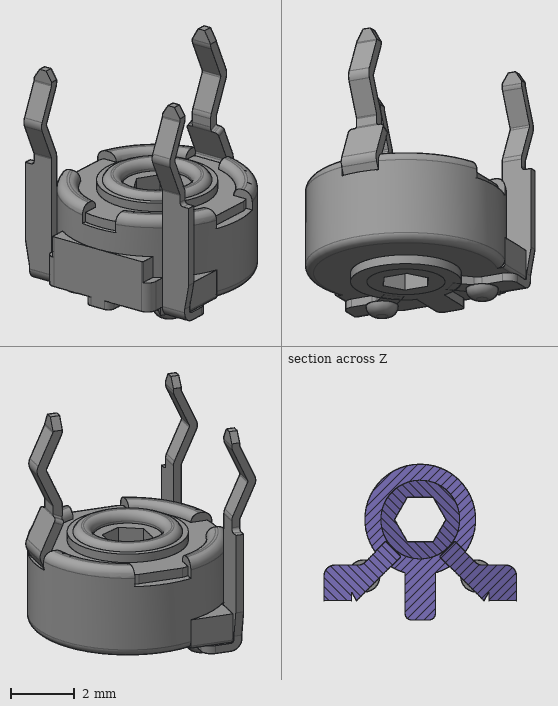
import cadquery as cq
import math


BODY_RADIUS = 3.148
BODY_BOTTOM = 0.29
LID_TOP = 2.995
RIM_TOP = 3.28
RIM_OUTER_ROUND = 0.315
RIM_INNER_ROUND = RIM_TOP - LID_TOP
RIM_CREST_RADIUS = 2.75
BODY_BOTTOM_ROUND = 0.25

NOTCH_FLOOR = 2.68
SIDE_NOTCH_WIDTH = 1.88
SIDE_LID_RADIUS = 2.915
SIDE_LID_FLAT = 5.64
END_NOTCH_WIDTH = 1.28
END_LID_RADIUS = 3

BLOCK_FRONT = -3.15
BLOCK_WIDTH = 3.51
BLOCK_TOP = 1.98
WING_WIDTH = 4.045
WING_TOP = 1.28
WING_ROUND = 0.32
WING_ROOT_ROUND = 0.08
SHOULDER_WIDTH = 6.02
SHOULDER_FRONT = -2.355
SHOULDER_BACK = -SIDE_NOTCH_WIDTH / 2
SHOULDER_BOTTOM_ROUND = 0.1

BOSS_RADIUS = 1.74
POST_WIDTH = 0.96
POST_ROUND = 0.22

HUB_RADIUS = 1.225
FLANGE_RADIUS = 1.9
FLANGE_TOP = RIM_TOP
RING_TOP = 3.475
RING_ROUND = 0.285
RING_CREST_OUTER = 1.45
RING_CREST_INNER = 1.38
RECESS_FLOOR = 3.12
HEX_ACROSS_FLATS = 1.39

BEND_SHIFT = 0.56
BEND_RISE = 1.21
PIN_BEND_ROUND = 0.08
TIP_WIDTH = 0.25

BLADE_THICKNESS = 0.27
BLADE_Y = -2.52
BLADE_OUTER = 3.175
BLADE_INNER = 2.15
BLADE_BASE_OUTER = 3.02
BLADE_TAPER_TOP = 1.37
BLADE_TAPER_BOTTOM = 0.52
BLADE_SHOULDER = 3.98
SIDE_PIN_WIDTH = 0.69
SIDE_PIN_APEX = 5.6
SIDE_TIP_BASE = 6.945
SIDE_TIP_TOP = 7.275
SIDE_SHOULDER_ROUND = 0.13

FOOT_BOTTOM = 0.02
FOOT_BEND_ROUND = 0.11
PAD_BACK = -1.42
PAD_ROUND = 0.35
ARM_FRONT_OFFSET = 0.39
ARM_REAR_OFFSET = 0.28
ARM_ROOT = -2.0
ARM_CORNER_ROUND = 0.32
ARM_END_DISTANCE = 1.23
ARM_END_ROUND = 0.24
RIVET_OFFSET = 1.77
RIVET_RADIUS = 0.505
RIVET_BOTTOM = -0.315
RIVET_ROUND = 0.32

CENTRE_THICKNESS = 0.315
CENTRE_Y = 2.5
CENTRE_PIN_WIDTH = 0.72
CENTRE_BASE_WIDTH = 1.23
CENTRE_SHOULDER = 4.26
CENTRE_SHOULDER_ROUND = 0.13
CENTRE_NECK_ROUND = 0.06
CENTRE_APEX = 5.91
CENTRE_LOWER_BEND = 4.31
CENTRE_TIP_BASE = 7.18
CENTRE_TIP_TOP = 7.585

MARGIN = 0.79
TINY = 0.001


def box(x_range, y_range, z_range):
    """Box between two limits along each axis."""
    return cq.Workplane("XY").box(
        x_range[1] - x_range[0], y_range[1] - y_range[0], z_range[1] - z_range[0], centered=False
    ).translate((x_range[0], y_range[0], z_range[0]))


def disc(radius, bottom, top):
    """Cylinder on the rotor axis."""
    return cq.Workplane("XY").workplane(offset=bottom).circle(radius).extrude(top - bottom)


def bent_strip(path, thickness, x_range, inner_rounds):
    """Bent strip along a (y, z) centre line, with one inside radius for each bend (0 leaves it sharp)."""
    normals = []
    for (y0, z0), (y1, z1) in zip(path, path[1:]):
        length = math.hypot(y1 - y0, z1 - z0)
        normals.append(cq.Vector(z0 - z1, y1 - y0) / length)

    def edge(offset):
        """Points of one long edge: its start, three points for each bend, its end."""
        points = [cq.Vector(*path[0]) + normals[0] * offset]
        for before, after, corner, inner in zip(normals, normals[1:], path[1:-1], inner_rounds):
            side = math.copysign(1, before.cross(after).z)
            mitre = (before + after) / (1 + before.dot(after))
            centre = cq.Vector(*corner) + mitre * side * (thickness / 2 + inner)
            radius = inner + thickness / 2 - side * offset
            middle = (before + after).normalized()
            points += [centre - normal * side * radius for normal in (before, middle, after)]
        return points + [cq.Vector(*path[-1]) + normals[-1] * offset]

    left = edge(thickness / 2)
    right = edge(-thickness / 2)[::-1]
    outline = cq.Workplane("YZ").workplane(offset=x_range[0]).moveTo(*right[-1].toTuple()[:2])
    for points in (left, right):
        outline = outline.lineTo(*points[0].toTuple()[:2])
        for i in range(1, len(points) - 1, 3):
            first, middle, last = (point.toTuple()[:2] for point in points[i:i + 3])
            outline = outline.lineTo(*first)
            if math.dist(first, last) > TINY:
                outline = outline.threePointArc(middle, last)
        outline = outline.lineTo(*points[-1].toTuple()[:2])
    return outline.close().extrude(x_range[1] - x_range[0])


def silhouette(points):
    """Prism through the whole part along Y with an (x, z) outline."""
    return cq.Workplane("XZ").polyline(points).close().extrude(BODY_RADIUS * 2, both=True)


def make_lid_outline():
    """Plate under the rim, whose edge shows in the four notches."""
    sides = disc(SIDE_LID_RADIUS, NOTCH_FLOOR, LID_TOP).intersect(
        box((-SIDE_LID_FLAT / 2, SIDE_LID_FLAT / 2), (-BODY_RADIUS, BODY_RADIUS), (NOTCH_FLOOR, LID_TOP))
    )
    half = END_NOTCH_WIDTH / 2
    ends = disc(END_LID_RADIUS, NOTCH_FLOOR, LID_TOP).intersect(
        box((-half, half), (-BODY_RADIUS, BODY_RADIUS), (NOTCH_FLOOR, LID_TOP))
    )
    return sides.union(ends)


def make_drum():
    """Round body with a raised rim, notched at four places down past the lid."""
    drum = disc(BODY_RADIUS, BODY_BOTTOM, RIM_TOP).faces(">Z").edges().fillet(RIM_OUTER_ROUND)
    drum = drum.faces("<Z").edges().fillet(BODY_BOTTOM_ROUND)
    well = cq.Workplane("XZ").moveTo(0, LID_TOP).lineTo(RIM_CREST_RADIUS - RIM_INNER_ROUND, LID_TOP)
    well = well.radiusArc((RIM_CREST_RADIUS, RIM_TOP), RIM_INNER_ROUND)
    well = well.lineTo(RIM_CREST_RADIUS, RIM_TOP + MARGIN).lineTo(0, RIM_TOP + MARGIN).close()
    drum = drum.cut(well.revolve(360, (0, 0, 0), (0, 1, 0)))

    reach = BODY_RADIUS + MARGIN
    heights = (NOTCH_FLOOR, RIM_TOP + MARGIN)
    side_half = SIDE_NOTCH_WIDTH / 2
    end_half = END_NOTCH_WIDTH / 2
    notches = box((-reach, reach), (-side_half, side_half), heights)
    notches = notches.union(box((-end_half, end_half), (-reach, reach), heights))
    return drum.cut(notches.cut(make_lid_outline()))


def make_base():
    """Square shoulders behind the side terminals, and the block between these at the front."""
    shoulder_half = SHOULDER_WIDTH / 2
    wing_half = WING_WIDTH / 2
    shoulders = box((-shoulder_half, shoulder_half), (SHOULDER_FRONT, SHOULDER_BACK), (BODY_BOTTOM, WING_TOP))
    shoulders = shoulders.edges("|Y and <Z").fillet(SHOULDER_BOTTOM_ROUND)

    wing_depth = (BLOCK_FRONT, SHOULDER_BACK)
    wing = box((-wing_half, wing_half), wing_depth, (BODY_BOTTOM, BLOCK_TOP))
    wing = wing.edges("|Z and <Y").fillet(WING_ROUND)
    above = (WING_TOP, BLOCK_TOP)
    for side in (-1, 1):
        step = sorted((side * BLOCK_WIDTH / 2, side * wing_half))
        wing = wing.cut(box(step, wing_depth, above))
    base = shoulders.union(wing)
    roots = base.edges(cq.selectors.BoxSelector(
        (-wing_half - TINY, SHOULDER_FRONT - TINY, BODY_BOTTOM),
        (wing_half + TINY, SHOULDER_FRONT + TINY, WING_TOP),
    )).edges("|Z")
    return roots.fillet(WING_ROOT_ROUND)


def make_housing():
    half = POST_WIDTH / 2
    post = box((-half, half), (BLOCK_FRONT, 0), (0, BODY_BOTTOM)).edges("|Z and <Y").fillet(POST_ROUND)
    boss = disc(BOSS_RADIUS, 0, BODY_BOTTOM)
    housing = make_drum().union(make_base()).union(boss).union(post)
    return housing.cut(disc(HUB_RADIUS, 0, LID_TOP))


def make_rotor():
    """Hub, flange and rounded ring round a hexagonal hole."""
    ring_base = RING_TOP - RING_ROUND
    inner_radius = RING_CREST_INNER - RING_ROUND
    ring = cq.Workplane("XZ").moveTo(inner_radius, ring_base)
    ring = ring.radiusArc((RING_CREST_INNER, RING_TOP), RING_ROUND)
    ring = ring.lineTo(RING_CREST_OUTER, RING_TOP)
    ring = ring.radiusArc((RING_CREST_OUTER + RING_ROUND, ring_base), RING_ROUND).close()
    ring = ring.revolve(360, (0, 0, 0), (0, 1, 0))

    rotor = disc(HUB_RADIUS, 0, LID_TOP).union(disc(FLANGE_RADIUS, LID_TOP, FLANGE_TOP))
    rotor = rotor.cut(disc(RING_CREST_INNER, ring_base, FLANGE_TOP)).union(ring)
    rotor = rotor.cut(disc(inner_radius, RECESS_FLOOR, ring_base))
    corner_diameter = HEX_ACROSS_FLATS / math.cos(math.pi / 6)
    return rotor.cut(cq.Workplane("XY").polygon(6, corner_diameter).extrude(RING_TOP))


def make_foot():
    """Foot of the left terminal: a pad, a diagonal arm with a turned-up end, and a domed rivet."""
    foot_middle = FOOT_BOTTOM + BLADE_THICKNESS / 2
    bend_radius = FOOT_BEND_ROUND + BLADE_THICKNESS
    pad_front = BLADE_Y - BLADE_THICKNESS / 2 + bend_radius

    def arm_point(distance, offset):
        """Point beside the arm's centre line, which runs at 45 degrees towards the rotor axis."""
        return ((offset - distance) / math.sqrt(2), (-offset - distance) / math.sqrt(2))

    inner_corner = (PAD_BACK - ARM_REAR_OFFSET * math.sqrt(2), PAD_BACK)
    foot = cq.Workplane("XY").workplane(offset=FOOT_BOTTOM).polyline([
        (-BLADE_BASE_OUTER, pad_front),
        (-BLADE_BASE_OUTER, PAD_BACK),
        inner_corner,
        arm_point(ARM_END_DISTANCE, -ARM_REAR_OFFSET),
        arm_point(ARM_END_DISTANCE, ARM_FRONT_OFFSET),
        (ARM_ROOT, ARM_ROOT - ARM_FRONT_OFFSET * math.sqrt(2)),
        (-BLADE_INNER, pad_front),
    ]).close().extrude(BLADE_THICKNESS)
    outer_edge = cq.selectors.NearestToPointSelector((-BLADE_BASE_OUTER, PAD_BACK, foot_middle))
    foot = foot.edges("|Z").edges(outer_edge).fillet(PAD_ROUND)
    inner_edge = cq.selectors.NearestToPointSelector((*inner_corner, foot_middle))
    foot = foot.edges("|Z").edges(inner_edge).fillet(ARM_CORNER_ROUND)
    arm_end = cq.selectors.NearestToPointSelector((*arm_point(ARM_END_DISTANCE, 0), FOOT_BOTTOM))
    foot = foot.faces("<Z").edges(arm_end).fillet(ARM_END_ROUND)

    rivet = disc(RIVET_RADIUS, RIVET_BOTTOM, FOOT_BOTTOM).faces("<Z").edges().fillet(RIVET_ROUND)
    return foot.union(rivet.translate((-RIVET_OFFSET, -RIVET_OFFSET)))


def make_side_terminal():
    """Left terminal: a blade with a kinked pin above it and a foot bent under the housing."""
    foot_middle = FOOT_BOTTOM + BLADE_THICKNESS / 2
    path = [
        (BLADE_Y, SIDE_TIP_TOP),
        (BLADE_Y, SIDE_PIN_APEX + BEND_RISE),
        (BLADE_Y - BEND_SHIFT, SIDE_PIN_APEX),
        (BLADE_Y, SIDE_PIN_APEX - BEND_RISE),
        (BLADE_Y, foot_middle),
        (-RIVET_OFFSET, foot_middle),
    ]
    bends = [PIN_BEND_ROUND] * 3 + [FOOT_BEND_ROUND]
    strip = bent_strip(path, BLADE_THICKNESS, (-BLADE_OUTER, -BLADE_INNER), bends)

    pin_outer = BLADE_INNER + SIDE_PIN_WIDTH
    pin_middle = BLADE_INNER + SIDE_PIN_WIDTH / 2
    outline = silhouette([
        (-BLADE_INNER, 0),
        (-BLADE_INNER, SIDE_TIP_BASE),
        (-pin_middle + TIP_WIDTH / 2, SIDE_TIP_TOP),
        (-pin_middle - TIP_WIDTH / 2, SIDE_TIP_TOP),
        (-pin_outer, SIDE_TIP_BASE),
        (-pin_outer, BLADE_SHOULDER),
        (-BLADE_OUTER, BLADE_SHOULDER),
        (-BLADE_OUTER, BLADE_TAPER_TOP),
        (-BLADE_BASE_OUTER, BLADE_TAPER_BOTTOM),
        (-BLADE_BASE_OUTER, 0),
    ])
    step = cq.selectors.NearestToPointSelector((-pin_outer, 0, BLADE_SHOULDER))
    outline = outline.edges("|Y").edges(step).fillet(SIDE_SHOULDER_ROUND)
    return strip.intersect(outline).union(make_foot())


def make_centre_terminal():
    """Terminal at the back: a kinked pin on a wider root that bends into the housing notch."""
    lower_apex = CENTRE_LOWER_BEND - BEND_RISE
    apex_y = CENTRE_Y + BEND_SHIFT
    root_half = CENTRE_BASE_WIDTH / 2
    root_rise = lower_apex - NOTCH_FLOOR
    path = [
        (CENTRE_Y, CENTRE_TIP_TOP),
        (CENTRE_Y, CENTRE_APEX + BEND_RISE),
        (apex_y, CENTRE_APEX),
        (CENTRE_Y, CENTRE_APEX - BEND_RISE),
        (CENTRE_Y, CENTRE_LOWER_BEND),
        (apex_y, lower_apex),
        (apex_y - root_rise * BEND_SHIFT / BEND_RISE, NOTCH_FLOOR),
    ]
    strip = bent_strip(path, CENTRE_THICKNESS, (-root_half, root_half), [PIN_BEND_ROUND] * 5)

    pin_half = CENTRE_PIN_WIDTH / 2
    pin = silhouette([
        (-pin_half, NOTCH_FLOOR),
        (-pin_half, CENTRE_TIP_BASE),
        (-TIP_WIDTH / 2, CENTRE_TIP_TOP),
        (TIP_WIDTH / 2, CENTRE_TIP_TOP),
        (pin_half, CENTRE_TIP_BASE),
        (pin_half, NOTCH_FLOOR),
    ])
    neck_top = CENTRE_SHOULDER + 2 * CENTRE_NECK_ROUND
    root = silhouette([
        (-root_half, -MARGIN),
        (-root_half, CENTRE_SHOULDER),
        (-pin_half, CENTRE_SHOULDER),
        (-pin_half, neck_top),
        (pin_half, neck_top),
        (pin_half, CENTRE_SHOULDER),
        (root_half, CENTRE_SHOULDER),
        (root_half, -MARGIN),
    ])
    for half, edge_round in ((root_half, CENTRE_SHOULDER_ROUND), (pin_half, CENTRE_NECK_ROUND)):
        for x in (-half, half):
            corner = cq.selectors.NearestToPointSelector((x, 0, CENTRE_SHOULDER))
            root = root.edges("|Y").edges(corner).fillet(edge_round)
    tilt = math.degrees(math.atan2(BEND_SHIFT, BEND_RISE))
    root = root.rotate((0, CENTRE_Y, CENTRE_LOWER_BEND), (1, CENTRE_Y, CENTRE_LOWER_BEND), tilt)
    return strip.intersect(pin.union(root))


left_terminal = make_side_terminal()
side_terminals = [left_terminal, left_terminal.mirror("YZ")]
centre_terminal = make_centre_terminal()
rotor = make_rotor()

housing = make_housing()
for terminal in [*side_terminals, centre_terminal]:
    housing = housing.cut(terminal)

bodies = [housing, rotor, centre_terminal, *side_terminals]
result = cq.Compound.makeCompound([body.solids().val() for body in bodies])